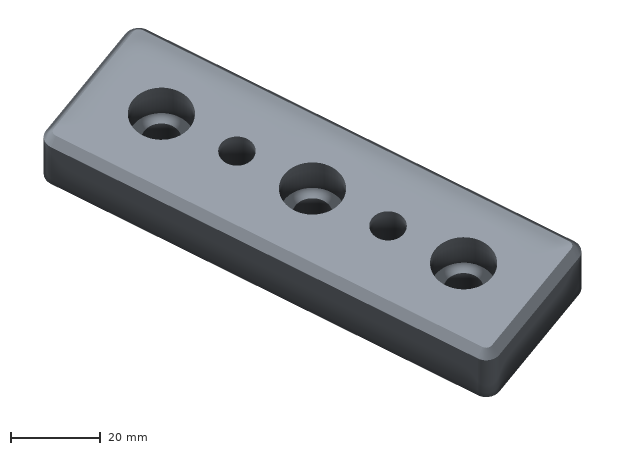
import cadquery as cq

length = 120.0
width = 40.0
height = 15.0
corner_radius = 3.5
top_chamfer = 2.0

hole_pitch = 20.0
bolt_hole_diameter = 9.0
counterbore_diameter = 15.0
counterbore_depth = 9.0
plain_hole_diameter = 8.38


def make_block():
    """Rounded block resting on Z = 0, with its top edge chamfered."""
    block = cq.Workplane("XY").box(length, width, height, centered=(True, True, False))
    block = block.edges("|Z").fillet(corner_radius)
    return block.faces(">Z").edges().chamfer(top_chamfer)


def drill_counterbored_holes(body):
    """Bolt holes at the centre and two pitches either side, counterbored from the top."""
    centres = [(step * hole_pitch, 0) for step in (-2, 0, 2)]
    top = body.faces(">Z").workplane(origin=(0, 0, height))
    return top.pushPoints(centres).cboreHole(bolt_hole_diameter, counterbore_diameter, counterbore_depth)


def drill_plain_holes(body):
    """Plain through holes midway between the counterbored holes."""
    centres = [(step * hole_pitch, 0) for step in (-1, 1)]
    top = body.faces(">Z").workplane(origin=(0, 0, height))
    return top.pushPoints(centres).hole(plain_hole_diameter)


result = drill_plain_holes(drill_counterbored_holes(make_block()))